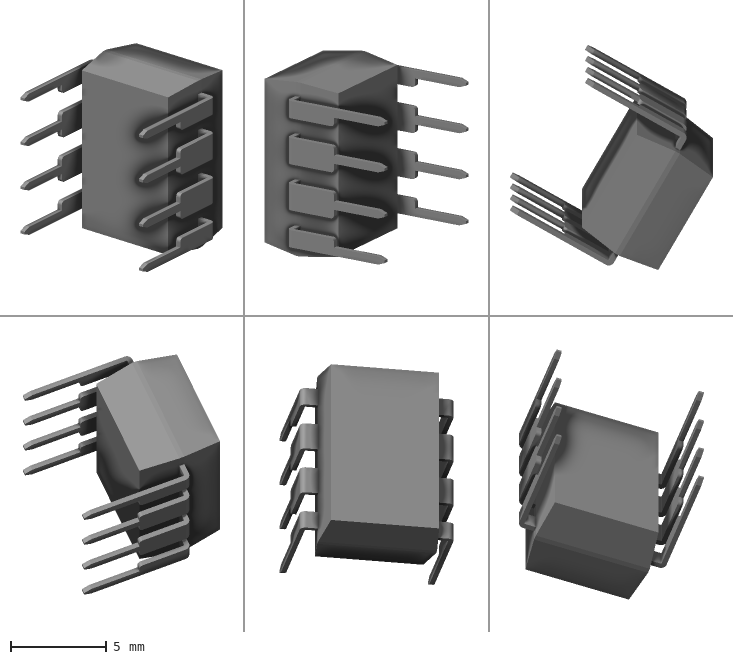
import cadquery as cq


body_width = 6.35
body_length = 9.59
body_thickness = 4.60
draft_inset = 0.29

lead_thickness = 0.275
lead_span = 8.194
pitch = 2.54
leads_per_row = 4
shank_width = 0.454
shoulder_width = 1.45
shoulder_standoff = 0.51
shoulder_radius = 0.20
bend_inner_radius = 0.03
bend_outer_radius = bend_inner_radius + lead_thickness
tip_width = shank_width / 3
tip_length = 0.41
overall_depth = 8.264

body_back = body_thickness / 2
body_front = -body_back
band_half = lead_thickness / 2
lead_outer_x = lead_span / 2
lead_inner_x = lead_outer_x - lead_thickness
shoulder_y = body_front - shoulder_standoff
tip_y = body_back - overall_depth
shank_end_y = tip_y + tip_length


def drafted_end(band_y, face_y):
    """Frustum from the full section at band_y to the inset face at face_y."""
    step = face_y - band_y
    return (
        cq.Workplane("XZ", origin=(0, band_y, 0))
        .rect(body_width, body_length)
        .workplane(offset=-step)
        .rect(body_width - 2 * draft_inset, body_length - 2 * draft_inset)
        .loft(ruled=True)
    )


def make_body():
    """Straight middle band with a drafted end toward +Y and another toward -Y."""
    band = cq.Workplane("XY").box(body_width, lead_thickness, body_length)
    return (
        band
        .union(drafted_end(band_half, body_back))
        .union(drafted_end(-band_half, body_front))
    )


def bent_strip():
    """L-shaped strip of the +X row, as wide as a full shoulder, meeting the band's side face."""
    return (
        cq.Workplane("XY")
        .moveTo(body_width / 2, band_half)
        .lineTo(lead_outer_x - bend_outer_radius, band_half)
        .radiusArc((lead_outer_x, band_half - bend_outer_radius), bend_outer_radius)
        .lineTo(lead_outer_x, tip_y)
        .lineTo(lead_inner_x, tip_y)
        .lineTo(lead_inner_x, -band_half - bend_inner_radius)
        .radiusArc((lead_inner_x - bend_inner_radius, -band_half), -bend_inner_radius)
        .lineTo(body_width / 2, -band_half)
        .close()
        .extrude(shoulder_width / 2, both=True)
    )


def shoulder_block(side):
    """Half of the wide part, on the +Z (side 1) or -Z (side -1) side, with a rounded corner."""
    edge_z = side * shoulder_width / 2
    return (
        cq.Workplane("YZ")
        .moveTo(band_half, 0)
        .lineTo(band_half, edge_z)
        .lineTo(shoulder_y + shoulder_radius, edge_z)
        .radiusArc((shoulder_y, edge_z - side * shoulder_radius), -side * shoulder_radius)
        .lineTo(shoulder_y, 0)
        .close()
        .extrude(lead_outer_x)
    )


def pointed_shank():
    """Narrow part, running the whole length of the leg to a blunt point."""
    return (
        cq.Workplane("YZ")
        .moveTo(band_half, shank_width / 2)
        .lineTo(shank_end_y, shank_width / 2)
        .lineTo(tip_y, tip_width / 2)
        .lineTo(tip_y, -tip_width / 2)
        .lineTo(shank_end_y, -shank_width / 2)
        .lineTo(band_half, -shank_width / 2)
        .close()
        .extrude(lead_outer_x)
    )


def make_lead(shoulder_sides):
    """Lead of the +X row, centred on Z = 0, with shoulders on the given Z sides."""
    outline = pointed_shank()
    for side in shoulder_sides:
        outline = outline.union(shoulder_block(side))
    return bent_strip().intersect(outline)


def make_leads():
    """Both rows; the end leads have a shoulder only on the side facing their neighbour."""
    leads = []
    for index in range(leads_per_row):
        shoulder_sides = []
        if index > 0:
            shoulder_sides.append(-1)
        if index < leads_per_row - 1:
            shoulder_sides.append(1)
        lead_z = (index - (leads_per_row - 1) / 2) * pitch
        lead = make_lead(shoulder_sides).translate((0, 0, lead_z))
        leads.append(lead.solids().val())
        leads.append(lead.mirror("YZ").solids().val())
    return leads


body = make_body()
result = cq.Compound.makeCompound([body.solids().val(), *make_leads()])